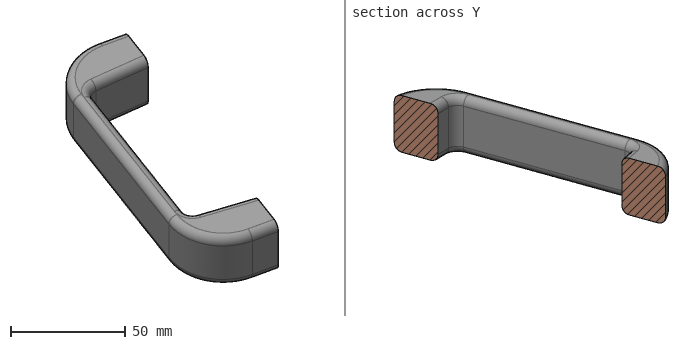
import cadquery as cq
import math

length = 142.0
depth = 40.0
height = 28.0

grip_thickness = 8.0
leg_width = 22.0
leg_draft = 5.0
outer_radius = 27.0
inner_radius = 5.0

pinch_flat = 0.01
edge_radius = (grip_thickness - pinch_flat) / 2

half_length = length / 2
grip_front = -depth
grip_back = grip_front + grip_thickness
opening_half_width = half_length - leg_width
corner_half_width = opening_half_width + grip_back * math.tan(math.radians(leg_draft))


def block(outline):
    """Extrude an outline to the handle height, centred on Z = 0."""
    return outline.close().extrude(height / 2, both=True)


def outer_block():
    """Solid block with large round corners at the front."""
    outline = (
        cq.Workplane("XY")
        .moveTo(-half_length, 0)
        .lineTo(-half_length, grip_front)
        .lineTo(half_length, grip_front)
        .lineTo(half_length, 0)
    )
    return block(outline).edges("|Z and <Y").fillet(outer_radius)


def finger_opening():
    """Tapered opening between the legs, with rounded corners against the grip."""
    outline = (
        cq.Workplane("XY")
        .moveTo(-opening_half_width, 0)
        .lineTo(-corner_half_width, grip_back)
        .lineTo(corner_half_width, grip_back)
        .lineTo(opening_half_width, 0)
    )
    return block(outline).edges("|Z and <Y").fillet(inner_radius)


def round_long_edges(handle):
    """Round every top and bottom edge except those on the mounting faces."""
    return handle.faces("|Z").edges("not(>Y)").fillet(edge_radius)


result = round_long_edges(outer_block().cut(finger_opening()))